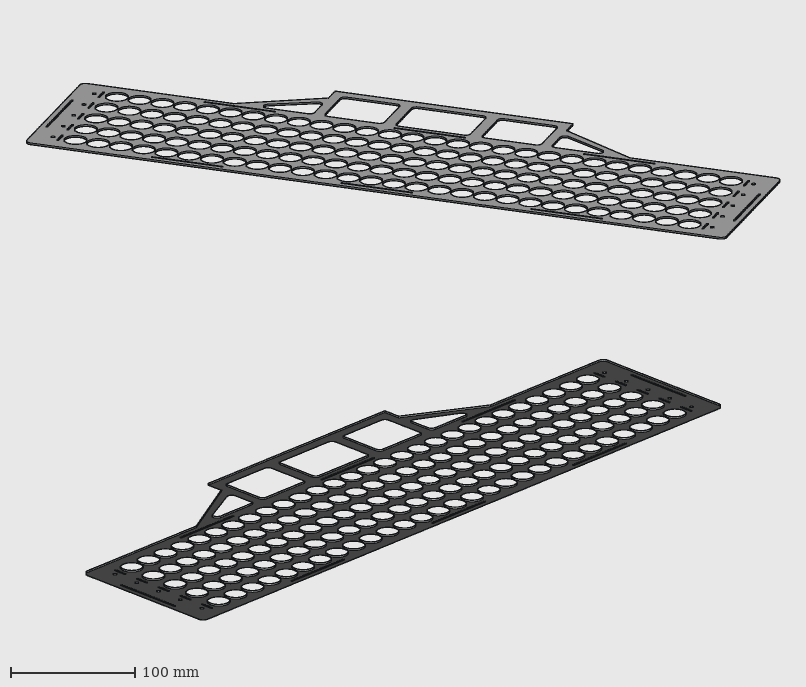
import cadquery as cq

length = 600.0
plate_width = 135.0
thickness = 1.6
corner_radius = 5.0

hole_diameter = 18.5
columns = 28
rows = 5
column_gap = 0.9
row_gap = 5.9

slot_width = 1.5
edge_slot_length = 61.0
edge_slot_spacing = 162.5
edge_slot_inset = 5.1
end_slot_inset = 5.5

row_slot_length = 12.0
row_slot_x = 276.5
pin_hole_diameter = 3.0
pin_hole_x = 282.5

total_depth = 188.0
frame_half_width = 102.0
frame_bar = 9.0
window_radius = 4.0
post_width = 10.0
middle_window_width = 63.5
brace_height = 37.0
brace_reach = 68.0
opening_height = 29.0
opening_reach = 57.0

column_pitch = hole_diameter + column_gap
row_pitch = hole_diameter + row_gap
plate_edge = plate_width / 2
frame_height = total_depth - plate_width
frame_top = plate_edge + frame_height
window_height = frame_height - frame_bar
row_ys = [(row - (rows - 1) / 2) * row_pitch for row in range(rows)]


def slot_cutter(points, slot_length, angle):
    """Round-ended through slots of the common width, centred on the points."""
    return cq.Workplane("XY").pushPoints(points).slot2D(slot_length, slot_width, angle).extrude(thickness)


def hole_cutter(points, diameter):
    """Round through holes centred on the points."""
    return cq.Workplane("XY").pushPoints(points).circle(diameter / 2).extrude(thickness)


def window_cutter(x_start, x_end):
    """Rounded rectangular window standing on the plate edge."""
    return (
        cq.Workplane("XY")
        .center((x_start + x_end) / 2, plate_edge + window_height / 2)
        .rect(x_end - x_start, window_height)
        .extrude(thickness)
        .edges("|Z")
        .fillet(window_radius)
    )


def brace(side):
    """Solid triangle between the plate edge and one side of the frame."""
    corners = [
        (side * frame_half_width, plate_edge),
        (side * (frame_half_width + brace_reach), plate_edge),
        (side * frame_half_width, plate_edge + brace_height),
    ]
    return cq.Workplane("XY").polyline(corners).close().extrude(thickness)


def brace_cutter(side):
    """Rounded triangular opening in the brace, leaving a slightly tapering sloped bar."""
    corners = [
        (side * frame_half_width, plate_edge),
        (side * (frame_half_width + opening_reach), plate_edge),
        (side * frame_half_width, plate_edge + opening_height),
    ]
    opening = cq.Workplane("XY").polyline(corners).close().extrude(thickness)
    return opening.edges("|Z").fillet(window_radius)


plate = cq.Workplane("XY").rect(length, plate_width).extrude(thickness)
plate = plate.edges("|Z").fillet(corner_radius)
frame = (
    cq.Workplane("XY")
    .center(0, frame_top / 2)
    .rect(2 * frame_half_width, frame_top)
    .extrude(thickness)
)
body = plate.union(frame)
for side in (-1, 1):
    body = body.union(brace(side))

middle_half = middle_window_width / 2
outer_start = middle_half + post_width
outer_end = frame_half_width - frame_bar
body = body.cut(window_cutter(-middle_half, middle_half))
body = body.cut(window_cutter(-outer_end, -outer_start))
body = body.cut(window_cutter(outer_start, outer_end))
for side in (-1, 1):
    body = body.cut(brace_cutter(side))

column_xs = [(column - (columns - 1) / 2) * column_pitch for column in range(columns)]
body = body.cut(hole_cutter([(x, y) for x in column_xs for y in row_ys], hole_diameter))

edge_slot_y = plate_edge - edge_slot_inset
edge_slot_points = [
    (place * edge_slot_spacing, side * edge_slot_y) for place in (-1, 0, 1) for side in (-1, 1)
]
body = body.cut(slot_cutter(edge_slot_points, edge_slot_length, 0))
end_slot_x = length / 2 - end_slot_inset
body = body.cut(slot_cutter([(-end_slot_x, 0), (end_slot_x, 0)], edge_slot_length, 90))

row_slot_points = [(side * row_slot_x, y) for side in (-1, 1) for y in row_ys]
pin_hole_points = [(side * pin_hole_x, y) for side in (-1, 1) for y in row_ys]
body = body.cut(slot_cutter(row_slot_points, row_slot_length, 90))
body = body.cut(hole_cutter(pin_hole_points, pin_hole_diameter))

result = body